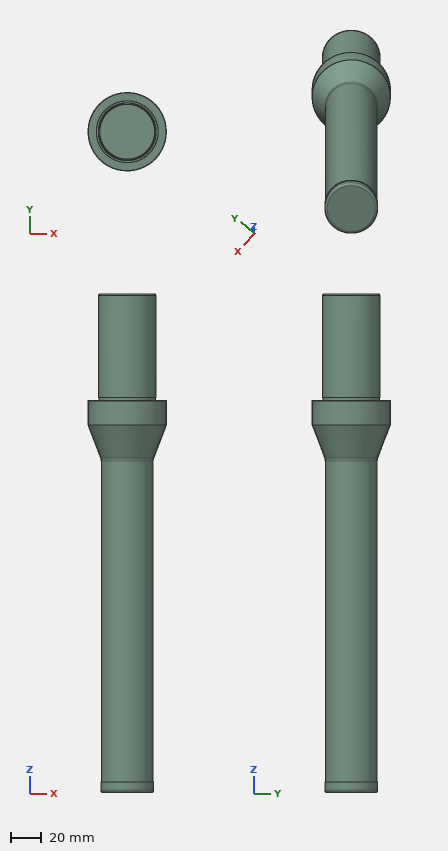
import cadquery as cq

TOTAL_LENGTH = 324.5
TIP_HEIGHT = 6.8
CONE_BOTTOM = 216.7
COLLAR_BOTTOM = 239.0
COLLAR_TOP = 255.0

STEM_RADIUS = 17.0
TIP_RADIUS = 17.2
COLLAR_RADIUS = 51.0 / 2
SHANK_RADIUS = 18.8

TIP_ROUND = 1.5
SHANK_CHAMFER = 1.0
CONE_ROOT_ROUND = 5.2

RELIEF_DEPTH = 0.3
RELIEF_HEIGHT = 2.0
RELIEF_OUTER_RADIUS = 20.0


def cylinder(radius, bottom, top):
    """Cylinder about the Z axis between two heights."""
    return cq.Workplane("XY").workplane(offset=bottom).circle(radius).extrude(top - bottom)


def edges_at(height):
    """Selector for the circular edge whose plane lies at the given height."""
    margin = 0.03
    reach = TOTAL_LENGTH
    return cq.selectors.BoxSelector(
        (-reach, -reach, height - margin), (reach, reach, height + margin), boundingbox=True
    )


def make_relief():
    """Ring removed from the foot of the shank and the collar face around it."""
    bottom = COLLAR_TOP - RELIEF_DEPTH
    top = COLLAR_TOP + RELIEF_HEIGHT
    ring = cylinder(RELIEF_OUTER_RADIUS, bottom, top)
    return ring.cut(cylinder(SHANK_RADIUS - RELIEF_DEPTH, bottom, top))


def make_holder():
    """Stem, cone, collar and shank turned as one piece."""
    profile = (
        cq.Workplane("XZ")
        .moveTo(0, TIP_HEIGHT)
        .lineTo(STEM_RADIUS, TIP_HEIGHT)
        .lineTo(STEM_RADIUS, CONE_BOTTOM)
        .lineTo(COLLAR_RADIUS, COLLAR_BOTTOM)
        .lineTo(COLLAR_RADIUS, COLLAR_TOP)
        .lineTo(SHANK_RADIUS, COLLAR_TOP)
        .lineTo(SHANK_RADIUS, TOTAL_LENGTH)
        .lineTo(0, TOTAL_LENGTH)
        .close()
    )
    body = profile.revolve(360, (0, 0, 0), (0, 1, 0))
    body = body.faces(">Z").edges().chamfer(SHANK_CHAMFER)
    body = body.edges(edges_at(CONE_BOTTOM)).fillet(CONE_ROOT_ROUND)
    return body.cut(make_relief())


def make_tip():
    """Short round-cornered disc on the lower end of the stem."""
    return cylinder(TIP_RADIUS, 0, TIP_HEIGHT).faces("<Z").edges().fillet(TIP_ROUND)


holder = make_holder()
tip = make_tip()

result = cq.Compound.makeCompound([holder.val(), tip.val()])